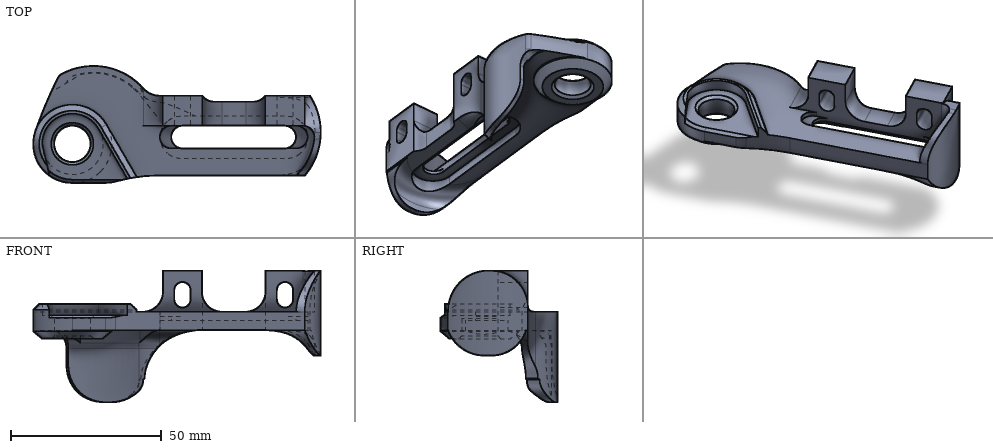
import cadquery as cq
import math


PLATE_TOP = 6.1
BLOCK_TOP = 19.7
BOSS_TOP = 8.65
POCKET_FLOOR = 4.9
HUB_BOTTOM = -2.85
TONGUE_BOTTOM = -23.95
FLANGE_BOTTOM = -8.5

HUB_R = 13.0
BORE_R = 6.0
COUNTERSINK = 1.0
HUB_CONE_TOP = -0.4
HUB_CONE_R = 10.1
BOSS_CHAMFER = 2.0
POCKET_R = 10.0
BOSS_ANGLE = 30.0
POCKET_MOUTH_X = -7.6
POCKET_MOUTH_Y = -10.5
BEVEL_DEPTH = 0.9
BEVEL_WIDTH = 1.15

FRONT_Y = -10.5
BACK_Y = 16.0
NECK_START_X = 10.9
NECK_BEND_X = 14.3
NECK_END_X = 29.0
LEFT_EDGE_LOW_X = -12.4
LEFT_EDGE_TOP_X = -4.4
LEFT_EDGE_BULGE = 0.35
LEFT_CORNER_R = 3.0

WALL_R = 22.0
WALL_T = 2.05
WALL_INNER_R = WALL_R - WALL_T
TONGUE_APEX_Y = 25.85
WALL_AXIS_Y = TONGUE_APEX_Y - WALL_R
TONGUE_AXIS_X = 7.0
ARM_END_X = 82.39
FLANGE_AXIS_X = ARM_END_X - WALL_R
ROOT_FILLET = 6.0
BACK_FILLET = 7.0

TONGUE_LEFT_X = -2.0
TONGUE_WIDTH = 21.8
TONGUE_TAPER = 0.35
TONGUE_SLANT = 19.0
TONGUE_LEFT_R = 12.5
TONGUE_RIGHT_R = 7.5
TONGUE_FLARE_R = 16.0
CLEARANCE_R = 19.7
CLEARANCE_DEPTH = 4.6
CLEARANCE_LEFT_X = 2.65
CLEARANCE_RIGHT_X = 22.4
CLEARANCE_END_X = 29.6
CLEARANCE_LEFT_SLOPE = 0.6

FLANGE_CORNER_SPAN = 12.15
FLANGE_SHOULDER = (-6.6, 15.75)

BLOCK_FRONT_Y = 6.0
BLOCK_LENGTH = 13.0
BLOCK_STARTS = (30.0, 64.0)
BLOCK_FILLET = 6.5
EYELET_WIDTH = 5.3
EYELET_HEIGHT = 8.4
EYELET_Z = 11.7
NOTCH_Y = 14.0
NOTCH_R = 5.0
BLOCK_TO_FLANGE_R = 3.85

SLOT_WIDTH = 7.5
SLOT_START_X = 32.8
SLOT_END_X = 74.1
RECESS_START_X = 29.0
RECESS_END_X = 78.0
RECESS_DEPTH = 1.6
UNDERCUT_WIDTH = 14.0
UNDERCUT_TOP = 3.2

FAR = 100.0


def box(x0, x1, y0, y1, z0, z1):
    return cq.Workplane("XY").box(x1 - x0, y1 - y0, z1 - z0, centered=False).translate((x0, y0, z0))


def cylinder(x, y, radius, z0, z1):
    return cq.Workplane("XY", origin=(x, y, z0)).circle(radius).extrude(z1 - z0)


def tongue_circle_y(x, radius):
    return WALL_AXIS_Y + math.sqrt(radius**2 - (x - TONGUE_AXIS_X) ** 2)


def tongue_circle_point(degrees, radius):
    a = math.radians(degrees)
    return (TONGUE_AXIS_X + radius * math.cos(a), WALL_AXIS_Y + radius * math.sin(a))


back_fillet_rise = BACK_Y + BACK_FILLET - WALL_AXIS_Y
BACK_FILLET_X = TONGUE_AXIS_X + math.sqrt((WALL_R + BACK_FILLET) ** 2 - back_fillet_rise**2)
JUNCTION_ANGLE = math.degrees(math.asin(back_fillet_rise / (WALL_R + BACK_FILLET)))
BACK_FILLET_MID_ANGLE = ((180 + JUNCTION_ANGLE) + 270) / 2


def back_fillet_point(degrees, radius):
    a = math.radians(degrees)
    return (BACK_FILLET_X + radius * math.cos(a), BACK_Y + BACK_FILLET + radius * math.sin(a))


def outline(z0, z1):
    """Plan outline of hub, tongue root and arm, extruded between two heights."""
    left_low = (LEFT_EDGE_LOW_X, math.sqrt(HUB_R**2 - LEFT_EDGE_LOW_X**2))
    left_top = (LEFT_EDGE_TOP_X, tongue_circle_y(LEFT_EDGE_TOP_X, WALL_R))
    neck_angle = 2 * math.atan((FRONT_Y + HUB_R) / (NECK_END_X - NECK_START_X))
    bend_drop = (NECK_BEND_X - NECK_START_X) * math.tan(neck_angle / 2)
    hub_diagonal = HUB_R * math.sqrt(0.5)
    edge_dx = left_top[0] - left_low[0]
    edge_dy = left_top[1] - left_low[1]
    edge_length = math.hypot(edge_dx, edge_dy)
    left_mid = (
        (left_low[0] + left_top[0]) / 2 - LEFT_EDGE_BULGE * edge_dy / edge_length,
        (left_low[1] + left_top[1]) / 2 + LEFT_EDGE_BULGE * edge_dx / edge_length,
    )
    body = (
        cq.Workplane("XY", origin=(0, 0, z0))
        .moveTo(*left_low)
        .threePointArc((-hub_diagonal, -hub_diagonal), (0, -HUB_R))
        .lineTo(NECK_START_X, -HUB_R)
        .tangentArcPoint((NECK_BEND_X, -HUB_R + bend_drop), relative=False)
        .tangentArcPoint((NECK_END_X, FRONT_Y), relative=False)
        .lineTo(FAR, FRONT_Y)
        .lineTo(FAR, BACK_Y)
        .lineTo(BACK_FILLET_X, BACK_Y)
        .threePointArc(
            back_fillet_point(BACK_FILLET_MID_ANGLE, BACK_FILLET),
            tongue_circle_point(JUNCTION_ANGLE, WALL_R),
        )
        .threePointArc(tongue_circle_point(90, WALL_R), left_top)
        .threePointArc(left_mid, left_low)
        .close()
        .extrude(z1 - z0)
    )
    corner = cq.selectors.NearestToPointSelector((*left_top, (z0 + z1) / 2))
    body = body.edges("|Z").edges(corner).fillet(LEFT_CORNER_R)
    end = cylinder(FLANGE_AXIS_X, WALL_AXIS_Y, WALL_R, z0, z1)
    return body.intersect(end.union(box(-FAR, FLANGE_AXIS_X, -FAR, FAR, z0, z1)))


def tongue():
    """Curved wall hanging below the plate, with a filleted root."""
    inner_fillet_r = BACK_FILLET + WALL_T
    inside = (
        cq.Workplane("XY", origin=(0, 0, TONGUE_BOTTOM))
        .moveTo(TONGUE_AXIS_X - WALL_INNER_R, WALL_AXIS_Y)
        .threePointArc(
            tongue_circle_point((180 + JUNCTION_ANGLE) / 2, WALL_INNER_R),
            tongue_circle_point(JUNCTION_ANGLE, WALL_INNER_R),
        )
        .threePointArc(
            back_fillet_point(BACK_FILLET_MID_ANGLE, inner_fillet_r),
            (BACK_FILLET_X, BACK_Y - WALL_T),
        )
        .lineTo(FAR, BACK_Y - WALL_T)
        .lineTo(FAR, -FAR)
        .lineTo(TONGUE_AXIS_X - WALL_INNER_R, -FAR)
        .close()
        .extrude(-TONGUE_BOTTOM)
        .faces(">Z")
        .edges()
        .fillet(ROOT_FILLET)
    )
    lower_width = TONGUE_WIDTH - TONGUE_TAPER
    slant = math.radians(TONGUE_SLANT)
    left_edge = (TONGUE_LEFT_X, tongue_circle_y(TONGUE_LEFT_X, WALL_R), 0)
    slanted = cq.Plane(
        origin=left_edge,
        xDir=(math.cos(slant), math.sin(slant), 0),
        normal=(math.sin(slant), -math.cos(slant), 0),
    )
    profile = (
        cq.Workplane(slanted)
        .moveTo(-ROOT_FILLET, 0)
        .radiusArc((0, -ROOT_FILLET), ROOT_FILLET)
        .lineTo(0, TONGUE_BOTTOM + TONGUE_LEFT_R)
        .radiusArc((TONGUE_LEFT_R, TONGUE_BOTTOM), -TONGUE_LEFT_R)
        .lineTo(lower_width - TONGUE_RIGHT_R, TONGUE_BOTTOM)
        .radiusArc((lower_width, TONGUE_BOTTOM + TONGUE_RIGHT_R), -TONGUE_RIGHT_R)
        .lineTo(TONGUE_WIDTH, -TONGUE_FLARE_R)
        .radiusArc((TONGUE_WIDTH + TONGUE_FLARE_R, 0), TONGUE_FLARE_R)
        .close()
        .extrude(FAR, both=True)
    )
    return outline(TONGUE_BOTTOM, 0).intersect(profile).cut(inside).cut(root_clearance())


def root_clearance():
    """Pocket that relieves the root fillet along the middle of the tongue."""
    left = (CLEARANCE_LEFT_X, tongue_circle_y(CLEARANCE_LEFT_X, CLEARANCE_R))
    right = (CLEARANCE_RIGHT_X, tongue_circle_y(CLEARANCE_RIGHT_X, CLEARANCE_R))
    left_end_x = TONGUE_AXIS_X - WALL_R
    left_end_y = left[1] - CLEARANCE_LEFT_SLOPE * (left[0] - left_end_x)
    tangent_slope = -(right[0] - TONGUE_AXIS_X) / (right[1] - WALL_AXIS_Y)
    right_end_y = right[1] + tangent_slope * (CLEARANCE_END_X - right[0])
    return (
        cq.Workplane("XY", origin=(0, 0, -CLEARANCE_DEPTH))
        .moveTo(left_end_x, left_end_y)
        .lineTo(*left)
        .threePointArc(tongue_circle_point(90, CLEARANCE_R), right)
        .lineTo(CLEARANCE_END_X, right_end_y)
        .lineTo(CLEARANCE_END_X, -FAR)
        .lineTo(left_end_x, -FAR)
        .close()
        .extrude(CLEARANCE_DEPTH)
    )


def flange():
    """Curved end wall above and below the arm, trimmed to a rounded outline."""
    flat_y = FRONT_Y + FLANGE_CORNER_SPAN
    lower_r = (FLANGE_CORNER_SPAN**2 + FLANGE_BOTTOM**2) / (2 * -FLANGE_BOTTOM)
    face = (
        cq.Workplane("YZ")
        .moveTo(FRONT_Y, 0)
        .lineTo(FRONT_Y, PLATE_TOP)
        .threePointArc(FLANGE_SHOULDER, (flat_y, BLOCK_TOP))
        .lineTo(BACK_Y - FLANGE_CORNER_SPAN, BLOCK_TOP)
        .radiusArc((BACK_Y, BLOCK_TOP - FLANGE_CORNER_SPAN), FLANGE_CORNER_SPAN)
        .lineTo(BACK_Y, FLANGE_BOTTOM + FLANGE_CORNER_SPAN)
        .radiusArc((BACK_Y - FLANGE_CORNER_SPAN, FLANGE_BOTTOM), FLANGE_CORNER_SPAN)
        .lineTo(flat_y, FLANGE_BOTTOM)
        .radiusArc((FRONT_Y, 0), lower_r)
        .close()
        .extrude(FAR)
    )
    solid = cylinder(FLANGE_AXIS_X, WALL_AXIS_Y, WALL_R, FLANGE_BOTTOM, BLOCK_TOP)
    solid = solid.intersect(box(FLANGE_AXIS_X, FAR, -FAR, FAR, FLANGE_BOTTOM, BLOCK_TOP))
    below = cylinder(FLANGE_AXIS_X, WALL_AXIS_Y, WALL_INNER_R, 2 * FLANGE_BOTTOM, 0)
    below = below.faces(">Z").edges().fillet(ROOT_FILLET)
    above = cylinder(FLANGE_AXIS_X, WALL_AXIS_Y, WALL_INNER_R, PLATE_TOP, BLOCK_TOP)
    above = above.intersect(box(-FAR, FAR, -FAR, BLOCK_FRONT_Y, PLATE_TOP, BLOCK_TOP))
    above = above.edges("|Z").edges(">X").fillet(BLOCK_TO_FLANGE_R)
    behind = box(0, BLOCK_STARTS[-1] + BLOCK_LENGTH, BLOCK_FRONT_Y, FAR, PLATE_TOP, BLOCK_TOP)
    return solid.intersect(face).cut(below).cut(above).cut(behind)


def block(start_x):
    """Upright block with flared feet, reaching back to the plan outline."""
    end_x = start_x + BLOCK_LENGTH
    foot_z = PLATE_TOP + BLOCK_FILLET
    shape = (
        cq.Workplane("XZ", origin=(0, TONGUE_APEX_Y, 0))
        .moveTo(start_x - BLOCK_FILLET, PLATE_TOP)
        .radiusArc((start_x, foot_z), -BLOCK_FILLET)
        .lineTo(start_x, BLOCK_TOP)
        .lineTo(end_x, BLOCK_TOP)
    )
    if start_x == BLOCK_STARTS[-1]:
        shape = shape.lineTo(end_x, PLATE_TOP)
    else:
        shape = shape.lineTo(end_x, foot_z).radiusArc((end_x + BLOCK_FILLET, PLATE_TOP), -BLOCK_FILLET)
    solid = shape.close().extrude(TONGUE_APEX_Y - BLOCK_FRONT_Y)
    return solid.intersect(outline(PLATE_TOP, BLOCK_TOP))


def eyelet(start_x):
    """Upright elongated hole through the middle of a block."""
    return (
        cq.Workplane("XZ", origin=(start_x + BLOCK_LENGTH / 2, BACK_Y, EYELET_Z))
        .slot2D(EYELET_HEIGHT, EYELET_WIDTH, 90)
        .extrude(BACK_Y - BLOCK_FRONT_Y)
    )


def back_notch():
    """Shallow notch in the back edge between the two blocks."""
    start_x = BLOCK_STARTS[0] + BLOCK_LENGTH
    end_x = BLOCK_STARTS[1]
    depth = BACK_Y - NOTCH_Y
    run = math.sqrt(NOTCH_R**2 - (NOTCH_R - depth) ** 2)
    return (
        cq.Workplane("XY")
        .moveTo(start_x, BACK_Y)
        .radiusArc((start_x + run, NOTCH_Y), -NOTCH_R)
        .lineTo(end_x - run, NOTCH_Y)
        .radiusArc((end_x, BACK_Y), -NOTCH_R)
        .close()
        .extrude(BLOCK_TOP)
    )


def wedge_line(radius):
    """Start and far end of the line tangent to a hub circle at BOSS_ANGLE."""
    a = math.radians(BOSS_ANGLE)
    start = (radius * math.cos(a), radius * math.sin(a))
    end_y = -2 * HUB_R
    end_x = start[0] + (start[1] - end_y) * math.tan(a)
    return start, (end_x, end_y)


def boss():
    """Raised teardrop around the bore: a chamfered disc and a chamfered wedge."""
    height = BOSS_TOP - PLATE_TOP
    disc = cylinder(0, 0, HUB_R, PLATE_TOP, BOSS_TOP).faces(">Z").edges().chamfer(BOSS_CHAMFER)
    start, end = wedge_line(HUB_R)
    side = cq.selectors.NearestToPointSelector(
        ((start[0] + end[0]) / 2, (start[1] + end[1]) / 2, BOSS_TOP)
    )
    wedge = (
        cq.Workplane("XY", origin=(0, 0, PLATE_TOP))
        .polyline([(0, 0), start, end, (0, end[1])])
        .close()
        .extrude(height)
        .faces(">Z")
        .edges(side)
        .chamfer(BOSS_CHAMFER)
    )
    return disc.union(wedge).intersect(outline(PLATE_TOP, BOSS_TOP))


def hub_pocket():
    """Teardrop pocket, open at the front, whose floor is bevelled along the front edge."""
    start, end = wedge_line(POCKET_R)
    mouth_slope = (POCKET_MOUTH_X + POCKET_R) / POCKET_MOUTH_Y
    pocket = (
        cq.Workplane("XY", origin=(0, 0, POCKET_FLOOR - BEVEL_DEPTH))
        .moveTo(*start)
        .threePointArc((0, POCKET_R), (-POCKET_R, 0))
        .lineTo(-POCKET_R + mouth_slope * end[1], end[1])
        .lineTo(*end)
        .close()
        .extrude(BOSS_TOP - POCKET_FLOOR + BEVEL_DEPTH)
    )
    floor = (
        cq.Workplane("XY", origin=(NECK_END_X / 2, 0, 0))
        .slot2D(NECK_END_X + 2 * HUB_R, 2 * HUB_R)
        .extrude(POCKET_FLOOR)
        .faces(">Z")
        .edges()
        .chamfer(BEVEL_DEPTH, BEVEL_WIDTH)
    )
    return pocket.cut(floor)


def hub_underside():
    """Tapered disc below the hub."""
    return (
        cq.Workplane("XZ")
        .polyline(
            [(0, 0), (HUB_R, 0), (HUB_R, HUB_CONE_TOP), (HUB_CONE_R, HUB_BOTTOM), (0, HUB_BOTTOM)]
        )
        .close()
        .revolve(360, (0, 0, 0), (0, 1, 0))
        .intersect(outline(HUB_BOTTOM, 0))
    )


def bore():
    """Through hole, countersunk at the pocket floor and at the hub underside."""
    countersink_r = BORE_R + COUNTERSINK
    return (
        cq.Workplane("XZ")
        .polyline(
            [
                (0, HUB_BOTTOM),
                (countersink_r, HUB_BOTTOM),
                (BORE_R, HUB_BOTTOM + COUNTERSINK),
                (BORE_R, POCKET_FLOOR - COUNTERSINK),
                (countersink_r, POCKET_FLOOR),
                (0, POCKET_FLOOR),
            ]
        )
        .close()
        .revolve(360, (0, 0, 0), (0, 1, 0))
    )


def slot(start_x, end_x, width, z0, z1):
    middle = ((start_x + end_x) / 2, BLOCK_FRONT_Y - SLOT_WIDTH / 2, z0)
    return cq.Workplane("XY", origin=middle).slot2D(end_x - start_x, width).extrude(z1 - z0)


def long_slot():
    """Slot through the arm, recessed from above and more widely from below."""
    through = slot(SLOT_START_X, SLOT_END_X, SLOT_WIDTH, 0, PLATE_TOP)
    recess = slot(RECESS_START_X, RECESS_END_X, SLOT_WIDTH, PLATE_TOP - RECESS_DEPTH, PLATE_TOP)
    undercut = slot(RECESS_START_X, RECESS_END_X, UNDERCUT_WIDTH, FLANGE_BOTTOM, UNDERCUT_TOP)
    return through.union(recess).union(undercut)


result = outline(0, PLATE_TOP).union(tongue()).union(flange())
for block_start in BLOCK_STARTS:
    result = result.union(block(block_start)).cut(eyelet(block_start))
result = result.cut(back_notch())
result = result.union(boss()).union(hub_underside())
result = result.cut(hub_pocket()).cut(bore()).cut(long_slot())